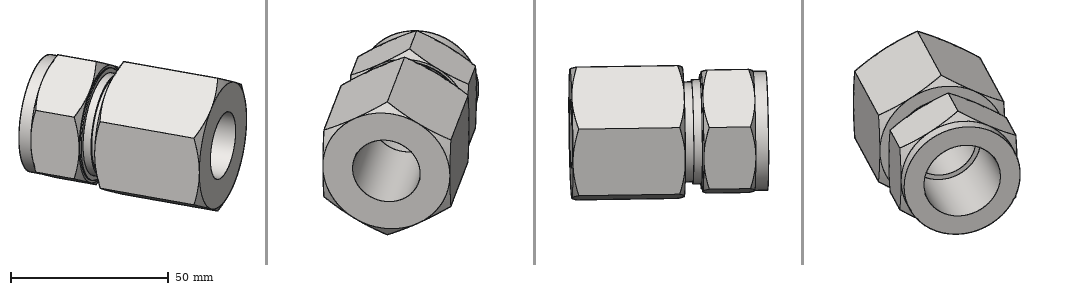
import cadquery as cq
import math

total_length = 62.3
nut_start = 4.1
nut_end = 20.6
washer_end = 21.05
shoulder_end = 23.75
body_start = 26.55

nut_across_flats = 38.0
body_across_flats = 41.0
chamfer_angle = 30.0

collar_diameter = nut_across_flats
washer_diameter = 36.4
shoulder_diameter = 33.25
neck_diameter = 31.9

socket_diameter = 25.0
socket_depth = body_start
passage_diameter = 21.8


def cylinder(start, end, diameter):
    """Round bar along X between two positions."""
    return cq.Workplane("YZ").workplane(offset=start).circle(diameter / 2).extrude(end - start)


def chamfered_hexagon(start, end, across_flats):
    """Hexagonal bar along X whose corners are turned to a cone at both ends."""
    flat_radius = across_flats / 2
    corner_radius = flat_radius / math.cos(math.radians(30))
    chamfer_length = (corner_radius - flat_radius) * math.tan(math.radians(chamfer_angle))

    hexagon = (
        cq.Workplane("YZ")
        .workplane(offset=start)
        .polygon(6, 2 * corner_radius)
        .extrude(end - start)
        .rotate((0, 0, 0), (1, 0, 0), 30)
    )
    turned_envelope = (
        cq.Workplane("XY")
        .moveTo(start, 0)
        .lineTo(start, flat_radius)
        .lineTo(start + chamfer_length, corner_radius)
        .lineTo(end - chamfer_length, corner_radius)
        .lineTo(end, flat_radius)
        .lineTo(end, 0)
        .close()
        .revolve(360, (0, 0, 0), (1, 0, 0))
    )
    return hexagon.intersect(turned_envelope)


collar = cylinder(0, nut_start, collar_diameter)
nut = chamfered_hexagon(nut_start, nut_end, nut_across_flats)
washer = cylinder(nut_end, washer_end, washer_diameter)

shoulder = cylinder(washer_end, shoulder_end, shoulder_diameter)
neck = cylinder(shoulder_end, body_start, neck_diameter)
body = chamfered_hexagon(body_start, total_length, body_across_flats)

fitting = collar.union(nut).union(washer).union(shoulder).union(neck).union(body)

socket = cylinder(0, socket_depth, socket_diameter)
passage = cylinder(0, total_length, passage_diameter)
result = fitting.cut(socket).cut(passage)